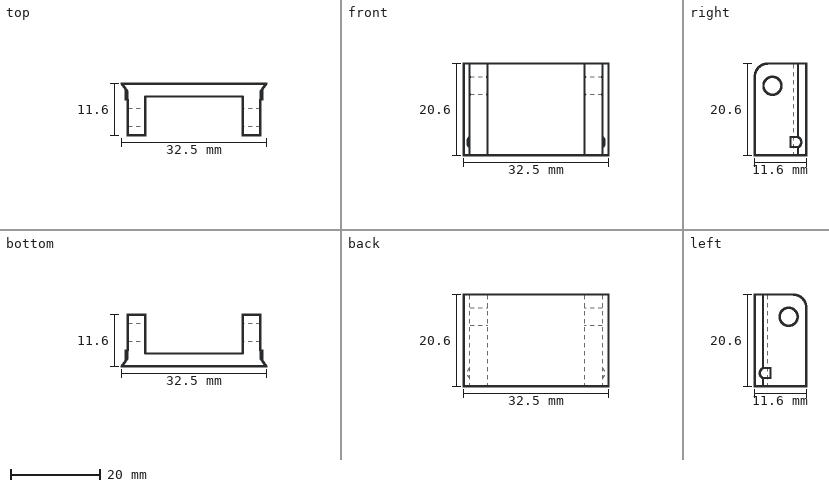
import cadquery as cq

length = 32.45
depth = 11.6
height = 20.6

web_thickness = 2.92
arm_thickness = 4.0
flare_overhang = 1.35
flare_depth = 1.85
corner_radius = 3.02

hole_diameter = 4.0
hole_from_front = 4.0
hole_from_top = 5.0

nub_height = 0.52
nub_width = 2.27
nub_center_z = 3.0
nub_end_from_back = 3.6

half_length = length / 2
arm_outer_x = half_length - flare_overhang
arm_inner_x = arm_outer_x - arm_thickness
back_y = depth / 2
front_y = -depth / 2


def make_channel():
    """Flared U section extruded upward, with the upper front arm corners rounded."""
    right_half = [
        (half_length, back_y),
        (arm_outer_x, back_y - flare_depth),
        (arm_outer_x, front_y),
        (arm_inner_x, front_y),
        (arm_inner_x, back_y - web_thickness),
    ]
    left_half = [(-x, y) for x, y in reversed(right_half)]
    channel = cq.Workplane("XY").polyline(right_half + left_half).close().extrude(height)
    return channel.faces("<Y").edges(">Z").fillet(corner_radius)


def make_cross_hole():
    """Cylinder along X that passes through both arms."""
    return (
        cq.Workplane("YZ", origin=(-half_length, 0, 0))
        .center(front_y + hole_from_front, height - hole_from_top)
        .circle(hole_diameter / 2)
        .extrude(length)
    )


def make_nub(side):
    """Circular-segment ridge on one arm; side is 1 for +X and -1 for -X."""
    arm_x = side * arm_outer_x
    embedded_x = side * arm_inner_x
    low_z = nub_center_z - nub_width / 2
    high_z = nub_center_z + nub_width / 2
    return (
        cq.Workplane("XZ", origin=(0, back_y - nub_end_from_back, 0))
        .moveTo(embedded_x, low_z)
        .lineTo(arm_x, low_z)
        .threePointArc((arm_x + side * nub_height, nub_center_z), (arm_x, high_z))
        .lineTo(embedded_x, high_z)
        .close()
        .extrude(-(nub_end_from_back - flare_depth / 2))
    )


result = make_channel().cut(make_cross_hole())
for side in (-1, 1):
    result = result.union(make_nub(side))